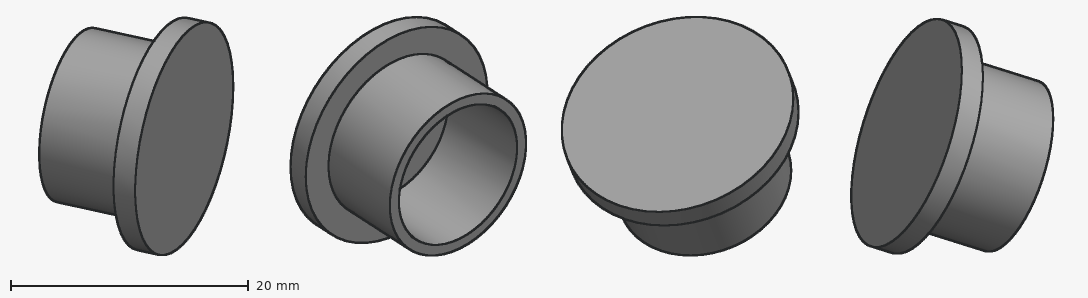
import cadquery as cq

flange_diameter = 20.0
flange_thickness = 2.0
tube_outer_diameter = 15.0
wall_thickness = 1.0
total_length = 10.0

tube_length = total_length - flange_thickness
bore_diameter = tube_outer_diameter - 2 * wall_thickness
floor_thickness = 1.0
bore_depth = total_length - floor_thickness


def cylinder_along_x(diameter, start, length):
    return cq.Workplane("YZ", origin=(start, 0, 0)).circle(diameter / 2).extrude(length)


tube = cylinder_along_x(tube_outer_diameter, 0, tube_length)
flange = cylinder_along_x(flange_diameter, tube_length, flange_thickness)
bore = cylinder_along_x(bore_diameter, 0, bore_depth)

result = tube.union(flange).cut(bore)